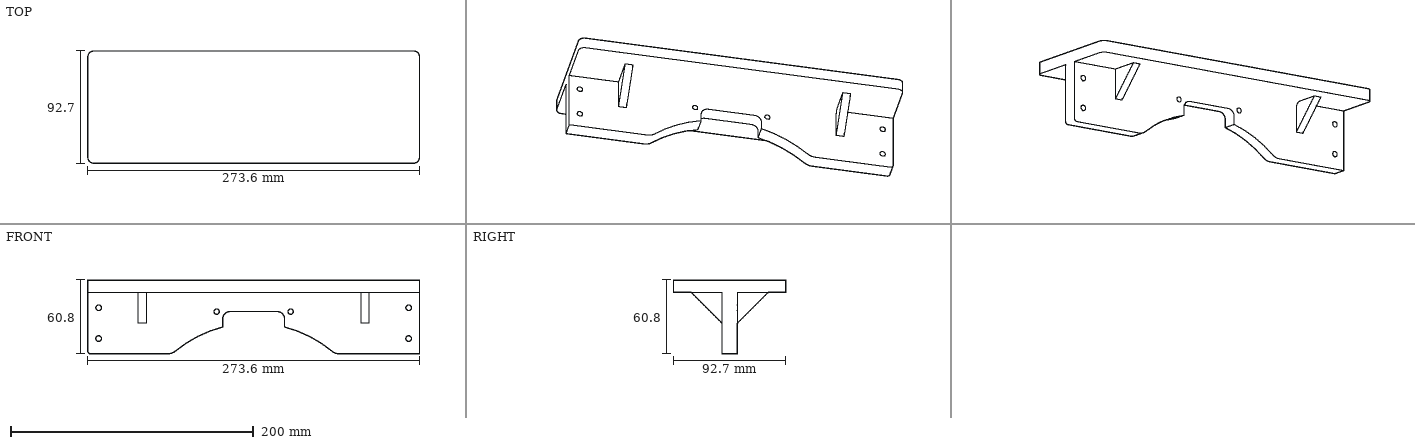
import cadquery as cq
import math

length = 273.56
total_height = 60.8
plate_thickness = 10.0
plate_overhang = 40.0
plate_corner_radius = 5.0

web_thickness = 12.7
web_corner_radius = 2.5
plate_width = web_thickness + 2 * plate_overhang
web_height = total_height - plate_thickness

arch_radius = 101.6
arch_crown_height = 25.4
arch_end_radius = 10.0
notch_width = 50.8
notch_top_depth = 15.9
notch_corner_radius = 6.0

rib_thickness = 6.7
rib_leg = 25.4
rib_spacing = 183.7
root_fillet_radius = 5.0

outer_hole_diameter = 4.5
outer_hole_inset = 9.0
outer_hole_depths = (12.7, 38.1)
inner_hole_diameter = 4.23
inner_hole_spacing = 61.0
inner_hole_depth = 15.9


def make_plate():
    plate = cq.Workplane("XY").box(length, plate_width, plate_thickness, centered=(True, True, False))
    return plate.edges("|Z").fillet(plate_corner_radius)


def make_web():
    """Web with the arch and the notch; of its two lower end corners only the -X one is rounded."""
    half_length = length / 2
    half_notch = notch_width / 2
    arch_center_z = -web_height + arch_crown_height - arch_radius
    arch_half_span = math.sqrt(arch_radius**2 - (-web_height - arch_center_z) ** 2)
    lip_z = arch_center_z + math.sqrt(arch_radius**2 - half_notch**2)
    arc_mid_x = (half_notch + arch_half_span) / 2
    arc_mid_z = arch_center_z + math.sqrt(arch_radius**2 - arc_mid_x**2)

    web = (
        cq.Workplane("XZ")
        .moveTo(-half_length, 0)
        .lineTo(-half_length, -web_height)
        .lineTo(-arch_half_span, -web_height)
        .threePointArc((-arc_mid_x, arc_mid_z), (-half_notch, lip_z))
        .lineTo(-half_notch, -notch_top_depth)
        .lineTo(half_notch, -notch_top_depth)
        .lineTo(half_notch, lip_z)
        .threePointArc((arc_mid_x, arc_mid_z), (arch_half_span, -web_height))
        .lineTo(half_length, -web_height)
        .lineTo(half_length, 0)
        .close()
        .extrude(web_thickness / 2, both=True)
    )
    rounded_corners = [(-half_length, -web_height, web_corner_radius)]
    for side in (-1, 1):
        rounded_corners += [
            (side * arch_half_span, -web_height, arch_end_radius),
            (side * half_notch, -notch_top_depth, notch_corner_radius),
        ]
    for x, z, radius in rounded_corners:
        corner = cq.selectors.NearestToPointSelector((x, 0, z))
        web = web.edges("|Y").edges(corner).fillet(radius)
    return web


def make_rib(x, side):
    """Triangular rib centred on x, on the side (-1 or 1) of the web along Y."""
    face_y = side * web_thickness / 2
    return (
        cq.Workplane("YZ", origin=(x, 0, 0))
        .polyline([(0, 0), (face_y + side * rib_leg, 0), (face_y, -rib_leg), (0, -rib_leg)])
        .close()
        .extrude(rib_thickness / 2, both=True)
    )


def make_root_fillet(side):
    """Concave fillet between plate and web, running from rib to rib."""
    face_y = side * web_thickness / 2
    outer_y = face_y + side * root_fillet_radius
    bulge = root_fillet_radius * (1 - math.sqrt(0.5))
    return (
        cq.Workplane("YZ")
        .moveTo(face_y, 0)
        .lineTo(outer_y, 0)
        .threePointArc((face_y + side * bulge, -bulge), (face_y, -root_fillet_radius))
        .close()
        .extrude(rib_spacing / 2, both=True)
    )


def make_hole_cutters():
    outer_x = length / 2 - outer_hole_inset
    inner_x = inner_hole_spacing / 2
    outer_points = [(side * outer_x, -depth) for side in (-1, 1) for depth in outer_hole_depths]
    inner_points = [(side * inner_x, -inner_hole_depth) for side in (-1, 1)]
    plane = cq.Workplane("XZ")
    outer = plane.pushPoints(outer_points).circle(outer_hole_diameter / 2).extrude(web_thickness, both=True)
    inner = plane.pushPoints(inner_points).circle(inner_hole_diameter / 2).extrude(web_thickness, both=True)
    return outer.union(inner)


result = make_plate().union(make_web())
for side in (-1, 1):
    result = result.union(make_root_fillet(side))
    for rib_x in (-rib_spacing / 2, rib_spacing / 2):
        result = result.union(make_rib(rib_x, side))
result = result.cut(make_hole_cutters())